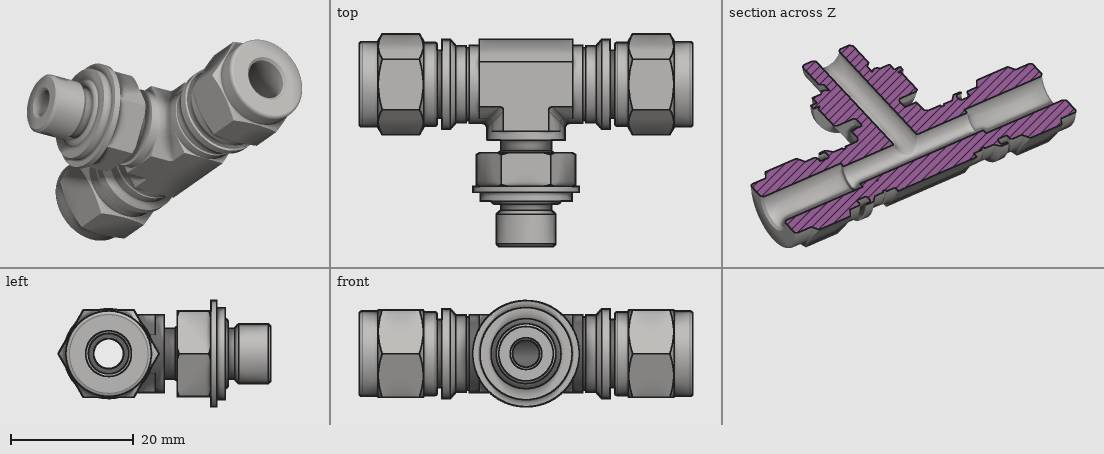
import cadquery as cq
import math


body_flats = 12.7
body_half_length = 7.6
corner_blend = 0.75

overall_half_length = 27.15
groove_start, groove_end = 9.25, 9.7
flange_cone_start = 11.4
flange_start, flange_end = 12.3, 13.7
nut_start = 14.45
nut_hex_start, nut_hex_end = 16.6, 24.1
groove_diameter = 11.95
arm_diameter = 12.6
flange_diameter = 14.6
face_groove_diameter = 13.9
face_groove_depth = 1.1
face_groove_round = 0.45
neck_diameter = 11.15

nut_flats = 14.2
nut_skirt_diameter = 13.6
nut_collar_diameter = 13.9
nut_skirt_round = 0.45
nut_collar_round = 0.55

boss_end = 9.05
upper_thread_start = 10.8
locknut_start, locknut_end = 11.15, 16.6
washer_end = 17.6
ring_end = 19.0
seal_end = 19.5
relief_end = 20.45
thread_start = 21.1
stud_end = 26.4
stud_neck_diameter = 8.3
upper_thread_diameter = 9.4
thread_diameter = 9.7
thread_chamfer = 0.45

locknut_flats = 13.95
locknut_face_diameter = 15.05
washer_diameter = 17.3
ring_diameter = 15.0
seal_diameter = 11.5

run_bore_diameter = 4.85
tube_socket_diameter = 6.55
tube_socket_depth = 15.2
tube_socket_chamfer = 0.45
stud_bore_diameter = 4.4
stud_bore_chamfer = 0.4

half_hex_angle = math.radians(30)
nut_cone_slope = math.tan(math.radians(30))


def across_corners(flats):
    return flats / math.cos(half_hex_angle)


def spin_x(profile):
    """Solid of revolution about X from (distance along X, radius) points."""
    return cq.Workplane("XY").polyline(profile).close().revolve(360, (0, 0, 0), (1, 0, 0))


def spin_stud(profile):
    """Solid of revolution about Y from (distance along -Y, radius) points."""
    points = [(radius, -distance) for distance, radius in profile]
    return cq.Workplane("XY").polyline(points).close().revolve(360, (0, 0, 0), (0, 1, 0))


def stud_disc(start, end, diameter):
    return cq.Workplane("XZ", origin=(0, -start, 0)).circle(diameter / 2).extrude(end - start)


def cone_ended_profile(start, end, face_radius, corner_radius):
    """Profile of a disc with 30 degree cones that trim the corners of a hexagon."""
    cone_length = (corner_radius - face_radius) * nut_cone_slope
    return [
        (start, 0),
        (start, face_radius),
        (start + cone_length, corner_radius),
        (end - cone_length, corner_radius),
        (end, face_radius),
        (end, 0),
    ]


def block_section(plane, rounded_far_side):
    """Hexagonal section whose side corners are rounded to the inscribed circle.

    The corner on the positive side stays sharp unless rounded_far_side is set.
    """
    apothem = body_flats / 2
    corner = across_corners(body_flats) / 2
    flat_end = corner / 2
    tangent_side = apothem * math.cos(half_hex_angle)
    tangent_height = apothem * math.sin(half_hex_angle)
    section = (
        cq.Workplane(plane)
        .moveTo(flat_end, apothem)
        .lineTo(-flat_end, apothem)
        .lineTo(-tangent_side, tangent_height)
        .threePointArc((-apothem, 0), (-tangent_side, -tangent_height))
        .lineTo(-flat_end, -apothem)
        .lineTo(flat_end, -apothem)
    )
    if rounded_far_side:
        section = section.lineTo(tangent_side, -tangent_height)
        section = section.threePointArc((apothem, 0), (tangent_side, tangent_height))
    else:
        section = section.lineTo(corner, 0)
    return section.close()


def tee_block():
    run = block_section("YZ", False).extrude(body_half_length, both=True)
    leg = block_section("XZ", True).extrude(body_half_length)
    return run.union(leg)


def blend_inside_corners(body):
    """Round the two inside corners, on the mitre planes between run and leg."""
    inner = body_flats / 4
    outer = body_flats / 2 + corner_blend
    for side in (-1, 1):
        corner_edges = cq.selectors.BoxSelector(
            (side * inner, -inner, -outer), (side * outer, -outer, outer), boundingbox=True
        )
        body = body.edges(corner_edges).fillet(corner_blend)
    return body


def tube_arm():
    """Round body of the +X end, from the forged block to the face hidden in the nut."""
    body_radius = body_flats / 2
    arm_radius = arm_diameter / 2
    groove_radius = groove_diameter / 2
    flange_radius = flange_diameter / 2
    neck_radius = neck_diameter / 2
    return spin_x([
        (body_half_length, 0),
        (body_half_length, body_radius),
        (groove_start, body_radius),
        (groove_start, groove_radius),
        (groove_end, groove_radius),
        (groove_end, arm_radius),
        (flange_cone_start, arm_radius),
        (flange_start, flange_radius),
        (flange_end, flange_radius),
        (flange_end, neck_radius),
        (nut_hex_start, neck_radius),
        (nut_hex_start, 0),
    ])


def face_groove():
    """Cutter for the ring groove between the flange rim and the neck."""
    return (
        cq.Workplane("YZ", origin=(flange_end, 0, 0))
        .circle(face_groove_diameter / 2)
        .circle(neck_diameter / 2)
        .extrude(-face_groove_depth)
        .faces("<X").edges().fillet(face_groove_round)
    )


def tube_nut():
    skirt = (
        cq.Workplane("YZ", origin=(nut_start, 0, 0))
        .circle(nut_skirt_diameter / 2)
        .extrude(nut_hex_start - nut_start)
        .faces("<X").edges().fillet(nut_skirt_round)
    )
    corners = across_corners(nut_flats)
    hexagon = (
        cq.Workplane("YZ", origin=(nut_hex_start, 0, 0))
        .polygon(6, corners)
        .extrude(nut_hex_end - nut_hex_start)
    )
    face_radius = nut_collar_diameter / 2
    trim = spin_x(cone_ended_profile(nut_hex_start, nut_hex_end, face_radius, corners / 2))
    collar = (
        cq.Workplane("YZ", origin=(nut_hex_end, 0, 0))
        .circle(nut_collar_diameter / 2)
        .extrude(overall_half_length - nut_hex_end)
        .faces(">X").edges().fillet(nut_collar_round)
    )
    return hexagon.intersect(trim).union(skirt).union(collar)


def stud():
    """Round boss, neck and threads, from the forged block to the free end."""
    neck_radius = stud_neck_diameter / 2
    upper_radius = upper_thread_diameter / 2
    upper_thread_lead = upper_radius - neck_radius
    thread_radius = thread_diameter / 2
    boss_radius = body_flats / 2
    return spin_stud([
        (body_half_length, 0),
        (body_half_length, boss_radius),
        (boss_end, boss_radius),
        (boss_end, neck_radius),
        (upper_thread_start, neck_radius),
        (upper_thread_start + upper_thread_lead, upper_radius),
        (locknut_end, upper_radius),
        (locknut_end, neck_radius),
        (relief_end, neck_radius),
        (thread_start, thread_radius),
        (stud_end - thread_chamfer, thread_radius),
        (stud_end, thread_radius - thread_chamfer),
        (stud_end, 0),
    ])


def lock_nut():
    corners = across_corners(locknut_flats)
    hexagon = (
        cq.Workplane("XZ", origin=(0, -locknut_start, 0))
        .polygon(6, corners)
        .extrude(locknut_end - locknut_start)
    )
    face_radius = locknut_face_diameter / 2
    trim = spin_stud(cone_ended_profile(locknut_start, locknut_end, face_radius, corners / 2))
    return hexagon.intersect(trim)


def seal():
    """O-ring seated on the stud neck and partly inside the retaining ring."""
    cord_radius = (seal_diameter - stud_neck_diameter) / 4
    ring_radius = seal_diameter / 2 - cord_radius
    return (
        cq.Workplane("XY")
        .center(ring_radius, cord_radius - seal_end)
        .circle(cord_radius)
        .revolve(360, (-ring_radius, 0, 0), (-ring_radius, 1, 0))
    )


def tube_socket():
    """Cutter for the tube socket at the +X end."""
    radius = tube_socket_diameter / 2
    return spin_x([
        (overall_half_length - tube_socket_depth, 0),
        (overall_half_length - tube_socket_depth, radius),
        (overall_half_length - tube_socket_chamfer, radius),
        (overall_half_length, radius + tube_socket_chamfer),
        (overall_half_length, 0),
    ])


def stud_bore():
    """Cutter for the stud bore, which opens into the run bore."""
    radius = stud_bore_diameter / 2
    return spin_stud([
        (0, 0),
        (0, radius),
        (stud_end - stud_bore_chamfer, radius),
        (stud_end, radius + stud_bore_chamfer),
        (stud_end, 0),
    ])


fitting = tee_block()

for part in (tube_arm().cut(face_groove()), tube_nut()):
    fitting = fitting.union(part).union(part.mirror("YZ"))

fitting = fitting.union(stud()).union(lock_nut())
fitting = fitting.union(stud_disc(locknut_end, washer_end, washer_diameter))
fitting = fitting.union(stud_disc(washer_end, ring_end, ring_diameter))
fitting = fitting.union(seal())
fitting = blend_inside_corners(fitting)

run_bore = cq.Workplane("YZ").circle(run_bore_diameter / 2).extrude(overall_half_length, both=True)
socket = tube_socket()
for cutter in (run_bore, socket, socket.mirror("YZ"), stud_bore()):
    fitting = fitting.cut(cutter)

result = fitting